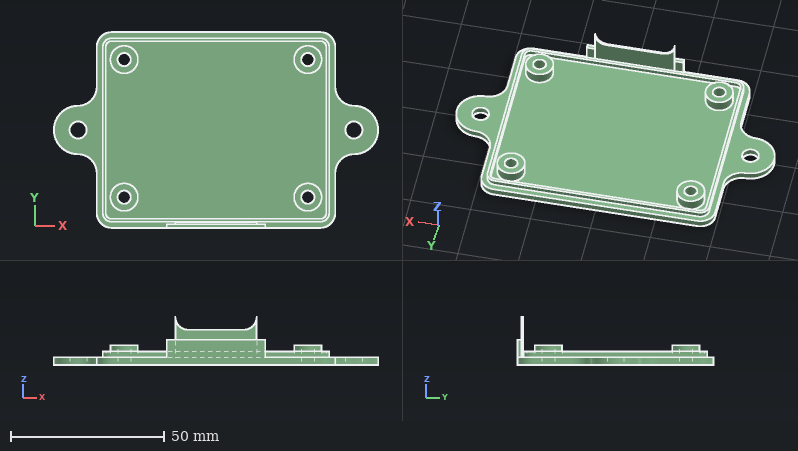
import cadquery as cq

plate_length = 78.0
plate_width = 64.0
plate_thickness = 2.5
corner_radius = 5.0

overall_length = 106.0
ear_radius = 8.0
ear_hole_diameter = 5.5
ear_x = overall_length / 2 - ear_radius
ear_blend_radius = ear_x - plate_length / 2

rim_inset = 2.0
rim_wall = 1.0
rim_top = 4.5

boss_diameter = 9.0
boss_hole_diameter = 4.2
boss_top = 6.5
boss_spacing_x = 60.0
boss_spacing_y = 44.9
boss_center_y = 0.5

block_length = 32.2
block_depth = 1.3
block_top = 8.3
tab_length = 26.5
tab_depth = 0.5
tab_top = 15.7
tab_notch_floor = 11.6
front_y = -plate_width / 2


def rounded_slab(inset, bottom, top):
    """Plate outline moved inward by inset, extruded between two heights."""
    return (
        cq.Workplane("XY")
        .workplane(offset=bottom)
        .rect(plate_length - 2 * inset, plate_width - 2 * inset)
        .extrude(top - bottom)
        .edges("|Z")
        .fillet(corner_radius - inset)
    )


def make_ears():
    """Both round ears, blended into the plate ends by concave arcs."""
    blend_y = ear_radius + ear_blend_radius
    strip = cq.Workplane("XY").rect(2 * ear_x, 2 * blend_y).extrude(plate_thickness)
    blend_centers = [(sx * ear_x, sy * blend_y) for sx in (-1, 1) for sy in (-1, 1)]
    blends = cq.Workplane("XY").pushPoints(blend_centers).circle(ear_blend_radius).extrude(plate_thickness)
    ends = cq.Workplane("XY").pushPoints([(-ear_x, 0), (ear_x, 0)]).circle(ear_radius)
    return strip.cut(blends).union(ends.extrude(plate_thickness))


def make_rim():
    outer = rounded_slab(rim_inset, plate_thickness, rim_top)
    return outer.cut(rounded_slab(rim_inset + rim_wall, plate_thickness, rim_top))


def boss_cylinders(diameter, top):
    return (
        cq.Workplane("XY")
        .center(0, boss_center_y)
        .rarray(boss_spacing_x, boss_spacing_y, 2, 2)
        .circle(diameter / 2)
        .extrude(top)
    )


def make_block():
    return (
        cq.Workplane("XY", origin=(0, front_y, 0))
        .box(block_length, block_depth, block_top, centered=(True, False, False))
    )


def make_tab():
    """Thin upright tab with a notch whose two lower corners are rounded."""
    notch_depth = tab_top - tab_notch_floor
    half = tab_length / 2
    return (
        cq.Workplane("XZ", origin=(0, front_y + block_depth + tab_depth, 0))
        .moveTo(-half, 0)
        .lineTo(half, 0)
        .lineTo(half, tab_top)
        .radiusArc((half - notch_depth, tab_notch_floor), notch_depth)
        .lineTo(notch_depth - half, tab_notch_floor)
        .radiusArc((-half, tab_top), notch_depth)
        .close()
        .extrude(tab_depth)
    )


result = (
    rounded_slab(0, 0, plate_thickness)
    .union(make_ears())
    .union(make_rim())
    .union(boss_cylinders(boss_diameter, boss_top))
    .union(make_block())
    .union(make_tab())
)

result = result.cut(boss_cylinders(boss_hole_diameter, boss_top))
ear_holes = cq.Workplane("XY").pushPoints([(-ear_x, 0), (ear_x, 0)]).circle(ear_hole_diameter / 2)
result = result.cut(ear_holes.extrude(plate_thickness))